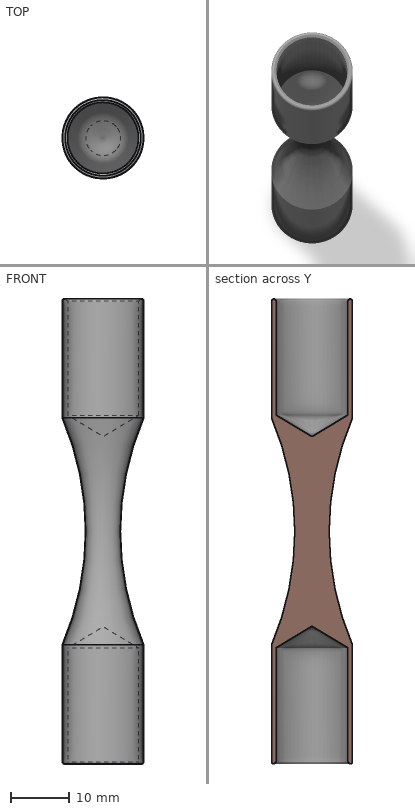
import cadquery as cq
import math

LENGTH = 80.0
OUTER_RADIUS = 7.0

WAIST_RADIUS = 3.0
SOCKET_LENGTH = 20.5

BORE_RADIUS = 6.1
BORE_DEPTH = 20.0
FLOOR_CONE_ANGLE = 118.0

RIM_FILLET = 0.5

HALF_LENGTH = LENGTH / 2
RIM_CREST = OUTER_RADIUS - RIM_FILLET
RIM_BASE = HALF_LENGTH - RIM_FILLET
LEAD_IN = RIM_CREST - BORE_RADIUS
LEAD_IN_END = HALF_LENGTH - LEAD_IN
SHOULDER = HALF_LENGTH - SOCKET_LENGTH
BORE_FLOOR = HALF_LENGTH - BORE_DEPTH
CONE_TIP = BORE_FLOOR - BORE_RADIUS / math.tan(math.radians(FLOOR_CONE_ANGLE / 2))


def radial_profile():
    """Half section of the part, from the lower cone tip up the outside to the upper one."""
    return (
        cq.Workplane("XZ")
        .moveTo(0, -CONE_TIP)
        .lineTo(BORE_RADIUS, -BORE_FLOOR)
        .lineTo(BORE_RADIUS, -LEAD_IN_END)
        .lineTo(RIM_CREST, -HALF_LENGTH)
        .radiusArc((OUTER_RADIUS, -RIM_BASE), -RIM_FILLET)
        .lineTo(OUTER_RADIUS, -SHOULDER)
        .threePointArc((WAIST_RADIUS, 0), (OUTER_RADIUS, SHOULDER))
        .lineTo(OUTER_RADIUS, RIM_BASE)
        .radiusArc((RIM_CREST, HALF_LENGTH), -RIM_FILLET)
        .lineTo(BORE_RADIUS, LEAD_IN_END)
        .lineTo(BORE_RADIUS, BORE_FLOOR)
        .lineTo(0, CONE_TIP)
        .close()
    )


FULL_TURN = 360
result = radial_profile().revolve(FULL_TURN, (0, 0, 0), (0, 1, 0))